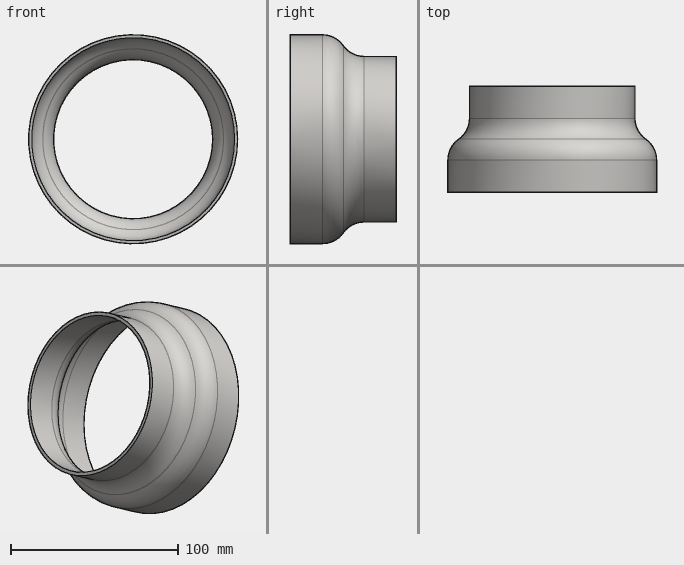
import cadquery as cq
import math

length = 63.5
wide_radius = 125.0 / 2
narrow_radius = 99.1 / 2
wide_wall = 1.9
narrow_wall = 2.1
collar_length = 19.2

shoulder_start = collar_length
shoulder_end = length - collar_length


def revolved_body(wide, narrow):
    """Solid of revolution about Y with two collars joined by an S-shaped shoulder."""
    run = shoulder_end - shoulder_start
    drop = wide - narrow
    arc_angle = 2 * math.atan(drop / run)
    arc_radius = run / (2 * math.sin(arc_angle))
    half_run = arc_radius * math.sin(arc_angle / 2)
    half_drop = arc_radius * (1 - math.cos(arc_angle / 2))
    return (
        cq.Workplane("XY")
        .lineTo(wide, 0)
        .lineTo(wide, shoulder_start)
        .threePointArc(
            (wide - half_drop, shoulder_start + half_run),
            ((wide + narrow) / 2, (shoulder_start + shoulder_end) / 2),
        )
        .threePointArc(
            (narrow + half_drop, shoulder_end - half_run),
            (narrow, shoulder_end),
        )
        .lineTo(narrow, length)
        .lineTo(0, length)
        .close()
        .revolve(360, (0, 0, 0), (0, 1, 0))
    )


outside = revolved_body(wide_radius, narrow_radius)
bore = revolved_body(wide_radius - wide_wall, narrow_radius - narrow_wall)
result = outside.cut(bore)